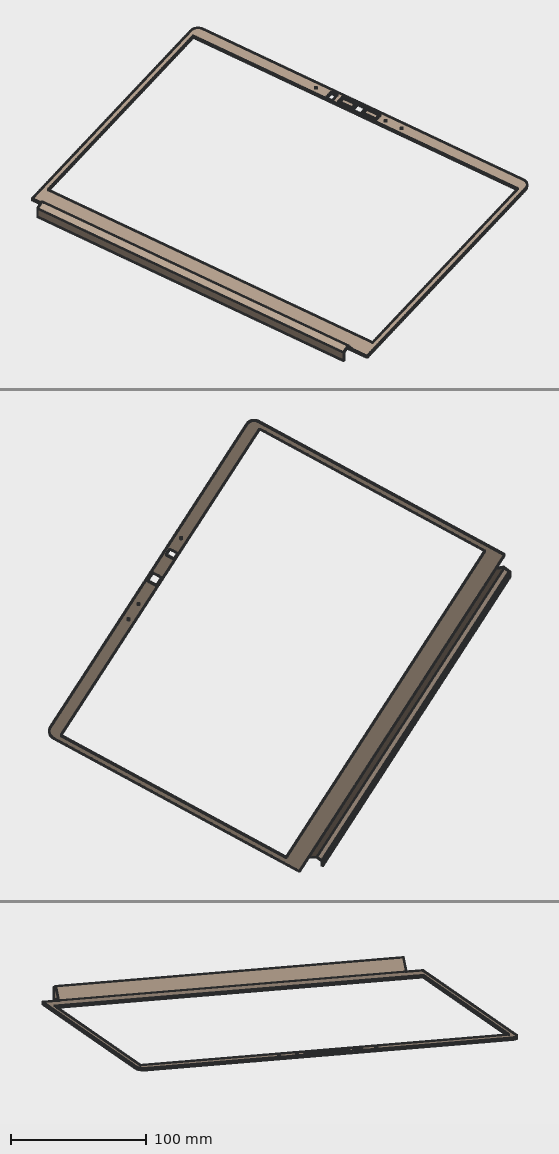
import cadquery as cq
import math

WIDTH = 296.63
DEPTH = 229.6
HEIGHT = 11.2

FRAME_THICKNESS = 1.8
FRAME_DEPTH = 217.2
CORNER_RADIUS = 6.25
SIDE_BORDER = 4.5
TOP_BORDER = 10.0
SCREEN_DEPTH = 193.1

COVER_WIDTH = 271.2
RAMP_THICKNESS = 1.4
ROOF_THICKNESS = 1.2
LIP_THICKNESS = 1.2
RIDGE_TO_FRONT = 5.9
LIP_HEIGHT = 8.75

HOLE_OFFSET = 5.1
HOLES = [(-38.5, 1.5), (23.3, 1.25), (37.5, 1.5)]
LENS_SIZE = 7.7
LENS_OFFSET = 1.4
SHUTTER_WIDTH = 5.6
SHUTTER_DEPTH = 7.0
SHUTTER_X = -23.9
SHUTTER_OFFSET = 2.4

LENS_WALL = 1.1
POCKET_LENGTH = 11.9
POCKET_WIDTH = 5.6
POCKET_OFFSET = 2.5
LEDGE_DEPTH = 0.4
LEDGE_WIDTH = 1.0
POCKET_DEPTH = 0.8

REAR_Y = DEPTH / 2
FRONT_Y = -DEPTH / 2
FRAME_FRONT_Y = REAR_Y - FRAME_DEPTH


def block(width, depth, height, x, rear_offset, z=0.0):
    """Box centred on x, standing on z, with its rear face rear_offset in front of the frame's rear edge."""
    y = REAR_Y - rear_offset - depth / 2
    box = cq.Workplane("XY").box(width, depth, height, centered=(True, True, False))
    return box.translate((x, y, z))


def make_frame():
    plate = block(WIDTH, FRAME_DEPTH, FRAME_THICKNESS, 0, 0)
    plate = plate.edges("|Z and >Y").fillet(CORNER_RADIUS)
    screen = block(WIDTH - 2 * SIDE_BORDER, SCREEN_DEPTH, FRAME_THICKNESS, 0, TOP_BORDER)
    return plate.cut(screen)


def make_cover():
    ridge_y = FRONT_Y + RIDGE_TO_FRONT
    ramp_slope = (HEIGHT - FRAME_THICKNESS) / (FRAME_FRONT_Y - ridge_y)
    roof_slope = (HEIGHT - LIP_HEIGHT) / RIDGE_TO_FRONT
    ramp_drop = RAMP_THICKNESS * math.hypot(1, ramp_slope)
    roof_drop = ROOF_THICKNESS * math.hypot(1, roof_slope)
    inner_shift = (roof_drop - ramp_drop) / (ramp_slope + roof_slope)
    inner_ridge_y = ridge_y + inner_shift
    inner_ridge_z = HEIGHT - ramp_drop - inner_shift * ramp_slope
    inner_lip_y = FRONT_Y + LIP_THICKNESS
    inner_lip_z = LIP_HEIGHT + LIP_THICKNESS * roof_slope - roof_drop
    ramp_foot_y = FRAME_FRONT_Y + (ramp_drop - FRAME_THICKNESS) / ramp_slope
    outline = [
        (FRAME_FRONT_Y, FRAME_THICKNESS),
        (ridge_y, HEIGHT),
        (FRONT_Y, LIP_HEIGHT),
        (FRONT_Y, 0),
        (inner_lip_y, 0),
        (inner_lip_y, inner_lip_z),
        (inner_ridge_y, inner_ridge_z),
        (ramp_foot_y, 0),
    ]
    return cq.Workplane("YZ").polyline(outline).close().extrude(COVER_WIDTH / 2, both=True)


def cut_holes(body):
    for x, diameter in HOLES:
        hole = cq.Workplane("XY").center(x, REAR_Y - HOLE_OFFSET).circle(diameter / 2)
        body = body.cut(hole.extrude(FRAME_THICKNESS))
    return body


def cut_openings(body):
    lens = block(LENS_SIZE, LENS_SIZE, FRAME_THICKNESS, 0, LENS_OFFSET)
    shutter = block(SHUTTER_WIDTH, SHUTTER_DEPTH, FRAME_THICKNESS, SHUTTER_X, SHUTTER_OFFSET)
    return body.cut(lens).cut(shutter)


def cut_pocket(body, side):
    """Pocket beside the lens opening; a ledge stays along its outer end and its screen side."""
    inner_end = LENS_SIZE / 2 + LENS_WALL
    deep_length = POCKET_LENGTH - LEDGE_WIDTH
    deep_width = POCKET_WIDTH - LEDGE_WIDTH
    shallow_x = side * (inner_end + POCKET_LENGTH / 2)
    deep_x = side * (inner_end + deep_length / 2)
    shallow = block(POCKET_LENGTH, POCKET_WIDTH, LEDGE_DEPTH, shallow_x, POCKET_OFFSET,
                    FRAME_THICKNESS - LEDGE_DEPTH)
    deep = block(deep_length, deep_width, POCKET_DEPTH, deep_x, POCKET_OFFSET,
                 FRAME_THICKNESS - POCKET_DEPTH)
    return body.cut(shallow).cut(deep)


result = make_frame().union(make_cover())
result = cut_holes(result)
result = cut_openings(result)
for pocket_side in (-1, 1):
    result = cut_pocket(result, pocket_side)